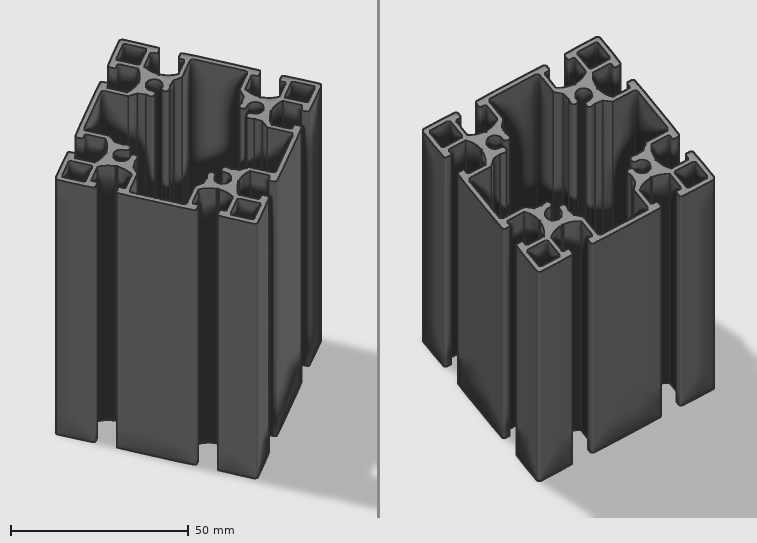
import cadquery as cq
import math

SIDE = 60.0
LENGTH = 100.0
CORNER_RADIUS = 1.0
WALL = 1.5
WEB = 1.4

SLOT_OFFSET = 15.0
SLOT_OPENING = 6.2
LIP_DEPTH = 2.5
LIP_OUTER_RADIUS = 0.7
LIP_INNER_RADIUS = 0.4
TAPER_WIDTH = 16.2
TAPER_DEPTH = 0.1
CHAMBER_WIDTH = 10.2
CHAMBER_RADIUS = 0.6
CHAMBER_SIDE_DEPTH = 8.5
CHAMBER_FLOOR_DEPTH = 10.3
FLOOR_GROOVE_WIDTH = 0.8
FLOOR_GROOVE_DEPTH = 0.3

CHANNEL_RADIUS = 2.4
ARM_TIP_RADIUS = 1.1
ARM_TIP_ACROSS = 11.5
ARM_TIP_ALONG = 14.7
NECK_INSET = 0.3
NECK_LENGTH = 1.4

BOX_RADIUS = 0.7
CAVITY_RADIUS = 1.0
SHOULDER = 20.6
ARM_ROOT_ACROSS = 10.4
ARM_ROOT_ALONG = 18.5

half_side = SIDE / 2
chamber_half = CHAMBER_WIDTH / 2
cavity_reach = half_side - WALL
cavity_half_width = SLOT_OFFSET - chamber_half - WEB


def fillet_uprights(solid, points, radius):
    """Fillet the vertical edges that pass through the given points."""
    reach = 0.1
    for x, y in points:
        box = cq.selectors.BoxSelector((x - reach, y - reach, 0), (x + reach, y + reach, LENGTH))
        solid = solid.edges(box).edges("|Z").fillet(radius)
    return solid


def block():
    """Solid square bar with rounded corners."""
    return cq.Workplane("XY").rect(SIDE, SIDE).extrude(LENGTH).edges("|Z").fillet(CORNER_RADIUS)


def slot(x):
    """T-slot entering the +Y face at the given x."""
    mouth_y = half_side - TAPER_DEPTH
    lip_y = half_side - LIP_DEPTH
    side_y = half_side - CHAMBER_SIDE_DEPTH
    floor_y = half_side - CHAMBER_FLOOR_DEPTH
    opening_half = SLOT_OPENING / 2
    taper_half = TAPER_WIDTH / 2
    groove_half = FLOOR_GROOVE_WIDTH / 2

    space = (
        cq.Workplane("XY")
        .moveTo(x - taper_half, half_side)
        .lineTo(x - opening_half, mouth_y)
        .lineTo(x - opening_half, lip_y)
        .lineTo(x - chamber_half, lip_y)
        .lineTo(x - chamber_half, side_y)
        .threePointArc((x, floor_y), (x + chamber_half, side_y))
        .lineTo(x + chamber_half, lip_y)
        .lineTo(x + opening_half, lip_y)
        .lineTo(x + opening_half, mouth_y)
        .lineTo(x + taper_half, half_side)
        .close()
        .extrude(LENGTH)
    )
    for half_width, y, radius in (
        (opening_half, mouth_y, LIP_OUTER_RADIUS),
        (opening_half, lip_y, LIP_INNER_RADIUS),
        (chamber_half, lip_y, CHAMBER_RADIUS),
    ):
        space = fillet_uprights(space, [(x - half_width, y), (x + half_width, y)], radius)

    groove = (
        cq.Workplane("XY")
        .moveTo(x - groove_half, lip_y)
        .lineTo(x - groove_half, floor_y)
        .lineTo(x, floor_y - FLOOR_GROOVE_DEPTH)
        .lineTo(x + groove_half, floor_y)
        .lineTo(x + groove_half, lip_y)
        .close()
        .extrude(LENGTH)
    )
    return space.union(groove)


def corner_box():
    """Square hollow in the +X +Y corner."""
    inner = SLOT_OFFSET + chamber_half + WEB
    middle = (inner + cavity_reach) / 2
    width = cavity_reach - inner
    return (
        cq.Workplane("XY")
        .center(middle, middle)
        .rect(width, width)
        .extrude(LENGTH)
        .edges("|Z")
        .fillet(BOX_RADIUS)
    )


def cavity_quarter():
    """+X +Y quarter of the central cavity, including the screw channel between its arms."""
    tip_outer = ARM_TIP_ACROSS - ARM_TIP_RADIUS
    neck_across = tip_outer + NECK_INSET
    neck_along = ARM_TIP_ALONG + NECK_LENGTH
    tip_inner = ARM_TIP_ACROSS + ARM_TIP_RADIUS
    tip_end = ARM_TIP_ALONG - ARM_TIP_RADIUS
    channel_edge = SLOT_OFFSET - CHANNEL_RADIUS
    channel_far = SLOT_OFFSET + CHANNEL_RADIUS * math.sqrt(0.5)
    quarter = (
        cq.Workplane("XY")
        .lineTo(0, cavity_reach)
        .lineTo(cavity_half_width, cavity_reach)
        .lineTo(cavity_half_width, SHOULDER)
        .lineTo(ARM_ROOT_ACROSS, ARM_ROOT_ALONG)
        .lineTo(neck_across, neck_along)
        .lineTo(tip_outer, ARM_TIP_ALONG)
        .threePointArc((ARM_TIP_ACROSS, tip_end), (tip_inner, ARM_TIP_ALONG))
        .lineTo(channel_edge, SLOT_OFFSET)
        .threePointArc((channel_far, channel_far), (SLOT_OFFSET, channel_edge))
        .lineTo(ARM_TIP_ALONG, tip_inner)
        .threePointArc((tip_end, ARM_TIP_ACROSS), (ARM_TIP_ALONG, tip_outer))
        .lineTo(neck_along, neck_across)
        .lineTo(ARM_ROOT_ALONG, ARM_ROOT_ACROSS)
        .lineTo(SHOULDER, cavity_half_width)
        .lineTo(cavity_reach, cavity_half_width)
        .lineTo(cavity_reach, 0)
        .close()
        .extrude(LENGTH)
    )
    far_corners = [(cavity_half_width, cavity_reach), (cavity_reach, cavity_half_width)]
    return fillet_uprights(quarter, far_corners, CAVITY_RADIUS)


quarter_cutters = [slot(SLOT_OFFSET), slot(-SLOT_OFFSET), corner_box(), cavity_quarter()]

result = block()
for quarter_turn in range(4):
    for cutter in quarter_cutters:
        result = result.cut(cutter.rotate((0, 0, 0), (0, 0, 1), 90 * quarter_turn))